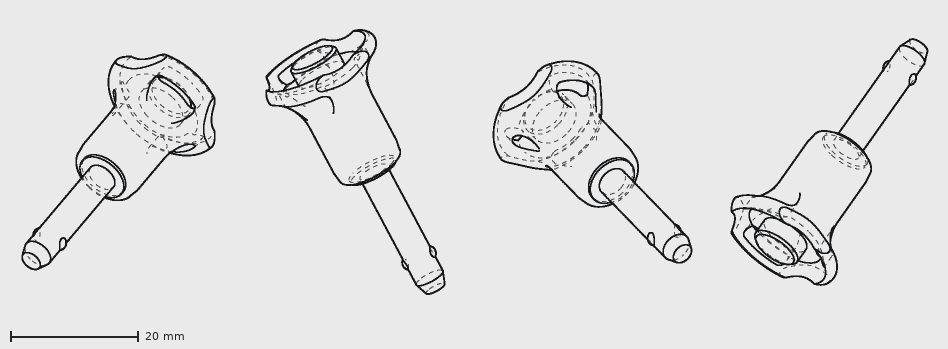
import cadquery as cq
import math


shank_radius = 2.38
shank_length = 21.73
tip_radius = 1.68
tip_length = 2.0
ball_radius = 1.19
ball_offset = 1.67
ball_y = -16.05

collar_radius = 4.03
collar_length = 0.55

barrel_radius = 5.59
barrel_start_y = 2.76
barrel_end_y = 11.2
nose_radius = 5.35
nose_y = 1.07
nose_face_radius = 4.65

head_radius = 10.16
rim_radius = 1.19
head_top_y = 20.5
dish_slope = 47.0
dish_floor_radius = 6.7

scallop_count = 3
scallop_mid = 8.29
scallop_edge = 8.71

slot_width = 2.3
slot_pitch_radius = 6.98
slot_half_angle = 25.0
slot_directions = (60.0, -60.0)
hole_diameter = 2.4
hole_pitch_radius = 6.94
hole_direction = 180.0

button_radius = 4.0
button_chamfer = 0.44
button_top_y = 21.2


def polar(radius, degrees):
    """Point in the X-Z plane at a radius and an angle from +X towards +Z."""
    angle = math.radians(degrees)
    return (radius * math.cos(angle), radius * math.sin(angle))


def revolve_about_pin(profile):
    """Turn a closed (radius, Y) profile around the pin axis."""
    return profile.close().revolve(360, (0, 0, 0), (0, 1, 0))


def along_pin(y):
    """Workplane across the pin at height y: local x is X, local y is Z, extrusion goes to -Y."""
    return cq.Workplane("XZ", origin=(0, y, 0))


def make_shank():
    profile = (
        cq.Workplane("XY")
        .moveTo(0, collar_length)
        .lineTo(collar_radius, collar_length)
        .lineTo(collar_radius, 0)
        .lineTo(shank_radius, 0)
        .lineTo(shank_radius, tip_length - shank_length)
        .lineTo(tip_radius, -shank_length)
        .lineTo(0, -shank_length)
    )
    shank = revolve_about_pin(profile)
    for side in (-1, 1):
        ball = cq.Workplane("XY").sphere(ball_radius).translate((side * ball_offset, ball_y, 0))
        shank = shank.union(ball)
    return shank


def make_handle():
    rim_center_r = head_radius - rim_radius
    rim_center_y = head_top_y - rim_radius
    rise = rim_center_y - barrel_end_y
    reach = rim_center_r - barrel_radius
    flare_radius = (rise**2 + reach**2 - rim_radius**2) / (2 * (reach + rim_radius))
    flare_center_r = barrel_radius + flare_radius
    join_angle = math.atan2(-rise, flare_center_r - rim_center_r)
    join_r = rim_center_r + rim_radius * math.cos(join_angle)
    join_y = rim_center_y + rim_radius * math.sin(join_angle)
    flare_mid_angle = math.pi + join_angle / 2
    flare_mid_r = flare_center_r + flare_radius * math.cos(flare_mid_angle)
    flare_mid_y = barrel_end_y + flare_radius * math.sin(flare_mid_angle)
    dish_floor_y = head_top_y - (rim_center_r - dish_floor_radius) * math.tan(math.radians(dish_slope))

    profile = (
        cq.Workplane("XY")
        .moveTo(0, collar_length)
        .lineTo(nose_face_radius, collar_length)
        .tangentArcPoint((nose_radius, nose_y), relative=False)
        .lineTo(barrel_radius, barrel_start_y)
        .lineTo(barrel_radius, barrel_end_y)
        .threePointArc((flare_mid_r, flare_mid_y), (join_r, join_y))
        .threePointArc((head_radius, rim_center_y), (rim_center_r, head_top_y))
        .lineTo(dish_floor_radius, dish_floor_y)
        .lineTo(0, dish_floor_y)
    )
    return revolve_about_pin(profile)


def make_scallop(direction):
    half_width = math.sqrt(head_radius**2 - scallop_edge**2)
    outer = 2 * head_radius
    cutter = (
        along_pin(head_top_y)
        .moveTo(scallop_edge, -half_width)
        .threePointArc((scallop_mid, 0), (scallop_edge, half_width))
        .lineTo(outer, half_width)
        .lineTo(outer, -half_width)
        .close()
        .extrude(head_top_y - barrel_end_y)
    )
    return cutter.rotate((0, 0, 0), (0, 1, 0), direction)


def make_slot(direction):
    inner = slot_pitch_radius - slot_width / 2
    outer = slot_pitch_radius + slot_width / 2
    first = direction - slot_half_angle
    last = direction + slot_half_angle
    cap_angle = math.degrees(slot_width / 2 / slot_pitch_radius)
    return (
        along_pin(head_top_y)
        .moveTo(*polar(inner, first))
        .threePointArc(polar(inner, direction), polar(inner, last))
        .threePointArc(polar(slot_pitch_radius, last + cap_angle), polar(outer, last))
        .threePointArc(polar(outer, direction), polar(outer, first))
        .threePointArc(polar(slot_pitch_radius, first - cap_angle), polar(inner, first))
        .close()
        .extrude(head_top_y - barrel_end_y)
    )


def make_hole():
    return (
        along_pin(head_top_y)
        .center(*polar(hole_pitch_radius, hole_direction))
        .circle(hole_diameter / 2)
        .extrude(head_top_y - barrel_end_y)
    )


def make_button():
    return (
        along_pin(button_top_y)
        .circle(button_radius)
        .extrude(button_top_y - barrel_end_y)
        .faces(">Y")
        .chamfer(button_chamfer)
    )


handle = make_handle()
for index in range(scallop_count):
    handle = handle.cut(make_scallop(index * 360 / scallop_count))
for direction in slot_directions:
    handle = handle.cut(make_slot(direction))
handle = handle.cut(make_hole())

result = handle.union(make_shank()).union(make_button())